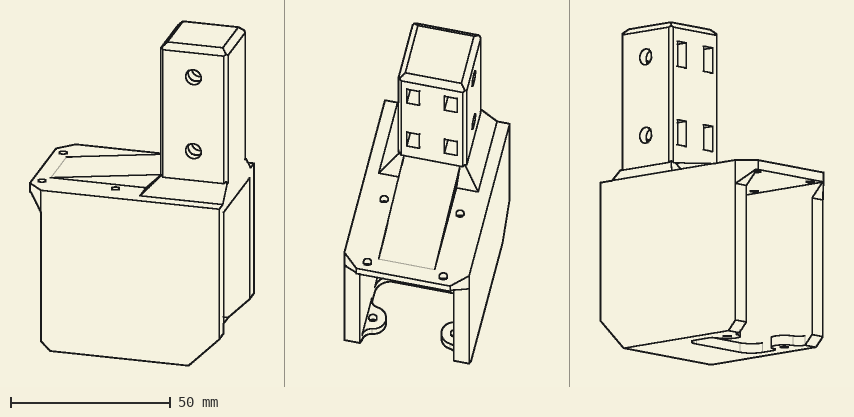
import cadquery as cq
import math

length = 63.0
width = 40.0
height = 104.0

housing_height = 54.0
wall = 5.0
plate_thickness = 3.0
overhang = 5.0
gusset_depth = 7.5
gusset_step = overhang + plate_thickness - gusset_depth
front_bevel = 3.0
back_bevel = 10.0
inner_half = width / 2 - wall

column_side = 21.9
column_x = length - column_side / 2
column_edge_bevel = 1.0
column_top_bevel = 2.0

flare_height = 5.0
flare_overrun = 0.5
ramp_width = 18.0

bolt_diameter = 5.0
bolt_spacing = 25.0
lower_bolt_z = 68.8
nut_flats = 8.0
nut_pocket_width = 4.1
nut_pocket_offset = 6.0

screw_diameter = 2.5
screw_front_x = 3.1
screw_spacing_x = 23.9
screw_half_spacing_y = 12.2

lug_x = 15.1
lug_y = 13.1
lug_radius = 4.2
lug_fillet = 2.9

floor_fillet_start_x = 26.3
floor_fillet = 5.0


def box(x0, x1, y0, y1, z0, z1):
    """Box between the given limits."""
    return cq.Workplane("XY").box(x1 - x0, y1 - y0, z1 - z0, centered=False).translate((x0, y0, z0))


def make_housing():
    """Side walls and top plate, open at the front, back and most of the bottom."""
    profile = [
        (0, housing_height),
        (length, housing_height),
        (length, back_bevel),
        (length - back_bevel, 0),
        (overhang + front_bevel, 0),
        (overhang, front_bevel),
        (overhang, housing_height - gusset_depth),
        (gusset_step, housing_height - plate_thickness),
        (0, housing_height - plate_thickness),
    ]
    shell = cq.Workplane("XZ").polyline(profile).close().extrude(width / 2, both=True)
    cavity = box(0, length, -inner_half, inner_half, 0, housing_height - plate_thickness)
    plan = (
        cq.Workplane("XY")
        .rect(length, width)
        .extrude(height)
        .edges("|Z and <X")
        .chamfer(overhang)
        .translate((length / 2, 0, 0))
    )
    floor = shell.intersect(make_floor())
    return shell.cut(cavity).intersect(plan).union(floor)


def make_floor():
    """Back floor plate with a concave round running into each side wall."""
    front_x = floor_fillet_start_x + floor_fillet
    half_front = inner_half - floor_fillet
    reach = floor_fillet * math.sqrt(0.5)
    mid_x = floor_fillet_start_x + reach
    mid_y = half_front + reach
    return (
        cq.Workplane("XY")
        .moveTo(front_x, -half_front)
        .lineTo(front_x, half_front)
        .threePointArc((mid_x, mid_y), (floor_fillet_start_x, inner_half))
        .lineTo(floor_fillet_start_x, width / 2)
        .lineTo(length, width / 2)
        .lineTo(length, -width / 2)
        .lineTo(floor_fillet_start_x, -width / 2)
        .lineTo(floor_fillet_start_x, -inner_half)
        .threePointArc((mid_x, -mid_y), (front_x, -half_front))
        .close()
        .extrude(plate_thickness)
    )


def make_lug():
    """Round screw lug blended into the +Y wall by a concave round on each side."""
    fillet_y = inner_half - lug_fillet
    reach = lug_radius + lug_fillet
    fillet_dx = math.sqrt(reach**2 - (fillet_y - lug_y) ** 2)
    contact_share = lug_radius / reach
    contact_dx = fillet_dx * contact_share
    contact_y = lug_y + (fillet_y - lug_y) * contact_share
    half_angle = math.atan2(fillet_dx, lug_y - fillet_y) / 2
    mid_dx = fillet_dx - lug_fillet * math.sin(half_angle)
    mid_y = fillet_y + lug_fillet * math.cos(half_angle)
    root_y = inner_half + wall / 2
    return (
        cq.Workplane("XY")
        .moveTo(lug_x - fillet_dx, root_y)
        .lineTo(lug_x - fillet_dx, inner_half)
        .threePointArc((lug_x - mid_dx, mid_y), (lug_x - contact_dx, contact_y))
        .threePointArc((lug_x, lug_y - lug_radius), (lug_x + contact_dx, contact_y))
        .threePointArc((lug_x + mid_dx, mid_y), (lug_x + fillet_dx, inner_half))
        .lineTo(lug_x + fillet_dx, root_y)
        .close()
        .extrude(plate_thickness)
        .faces("<Z")
        .workplane(origin=(lug_x, lug_y, 0))
        .hole(screw_diameter)
    )


def make_column():
    """Square column with bevelled top and upright edges."""
    column_height = height - housing_height
    bevelled_top = (
        cq.Workplane("XY").rect(column_side, column_side).extrude(column_height)
        .faces(">Z").chamfer(column_top_bevel)
    )
    bevelled_sides = (
        cq.Workplane("XY").rect(column_side, column_side).extrude(column_height)
        .edges("|Z").chamfer(column_edge_bevel)
    )
    return bevelled_top.intersect(bevelled_sides).translate((column_x, 0, housing_height))


def make_flare():
    """45 degree flare around the column foot, cut flush at the back."""
    foot_side = column_side + 2 * flare_height
    tip_side = column_side - 2 * flare_overrun
    flare = (
        cq.Workplane("XY", origin=(column_x, 0, housing_height))
        .rect(foot_side, foot_side)
        .workplane(offset=flare_height + flare_overrun)
        .rect(tip_side, tip_side)
        .loft(ruled=True)
    )
    return flare.intersect(box(0, length, -width / 2, width / 2, 0, height))


def make_ramp():
    """Sloping wedge from the top plate up to the column."""
    profile = [
        (overhang, housing_height),
        (length - column_side, housing_height + flare_height),
        (column_x, housing_height + flare_height),
        (column_x, housing_height),
    ]
    return cq.Workplane("XZ").polyline(profile).close().extrude(ramp_width / 2, both=True)


def make_nut_pocket(y, z):
    """Hexagonal nut pocket around the bolt axis, open toward -X."""
    hexagon = (
        cq.Workplane("XZ", origin=(column_x, y, z))
        .polygon(6, nut_flats / math.cos(math.pi / 6))
        .extrude(nut_pocket_width / 2, both=True)
    )
    entry = box(
        length - column_side, column_x,
        y - nut_pocket_width / 2, y + nut_pocket_width / 2,
        z - nut_flats / 2, z + nut_flats / 2,
    )
    return hexagon.union(entry)


lug = make_lug()
result = (
    make_housing()
    .union(lug)
    .union(lug.mirror("XZ"))
    .union(make_flare())
    .union(make_column())
    .union(make_ramp())
)

for bolt_z in (lower_bolt_z, lower_bolt_z + bolt_spacing):
    bolt = (
        cq.Workplane("XZ", origin=(column_x, 0, bolt_z))
        .circle(bolt_diameter / 2)
        .extrude(column_side, both=True)
    )
    result = result.cut(bolt)
    for pocket_y in (-nut_pocket_offset, nut_pocket_offset):
        result = result.cut(make_nut_pocket(pocket_y, bolt_z))

for screw_x in (screw_front_x, screw_front_x + screw_spacing_x):
    for screw_y in (-screw_half_spacing_y, screw_half_spacing_y):
        screw = (
            cq.Workplane("XY", origin=(screw_x, screw_y, housing_height - plate_thickness))
            .circle(screw_diameter / 2)
            .extrude(plate_thickness)
        )
        result = result.cut(screw)